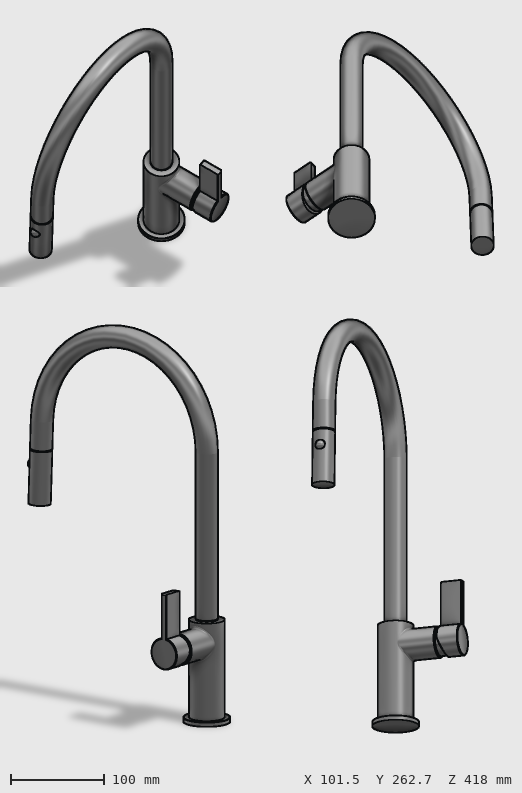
import math
import cadquery as cq

FLANGE_RADIUS = 25.0
FLANGE_HEIGHT = 5.0
FLANGE_CHAMFER = 0.5
COLUMN_RADIUS = 19.2
COLUMN_TOP = 112.0

ARM_RADIUS = 17.0
ARM_HEIGHT = 88.5
ARM_END = 50.5
ARM_FILLET = 2.5
ARM_CHAMFER = 1.3
SEAM_MARGIN = 0.5

CARTRIDGE_RADIUS = 15.5
CARTRIDGE_DEPTH = 7.5
CARTRIDGE_EDGE = 4.0

HANDLE_GAP = 2.0
HANDLE_END = 76.5
HANDLE_CHAMFER = 1.0
RELIEF_WIDTH = 6.5
LEVER_THICKNESS = 7.0
LEVER_TOP = 154.2
LEVER_FILLET = 2.0

PIPE_DIAMETER = 24.2
SPOUT_TOP = 418
BEND_RADIUS = 110.0
OUTLET_TILT = 2
OUTLET_LENGTH = 31.8
SPACER_THICKNESS = 1.3
SPACER_INSET = 0.5

HEAD_LENGTH = 59.5
BUTTON_DROP = 17.5
BUTTON_RADIUS = 5.5
BUTTON_REACH = 16.0

PIPE_RADIUS = PIPE_DIAMETER / 2
HANDLE_START = ARM_END + HANDLE_GAP
BEND_HEIGHT = SPOUT_TOP - BEND_RADIUS - PIPE_RADIUS
PIPE_START = COLUMN_TOP + SPACER_THICKNESS
TILT = math.radians(OUTLET_TILT)


def bend_point(angle):
    """Point (Y, Z) on the bend centreline, measured from the column side."""
    y = -BEND_RADIUS + BEND_RADIUS * math.cos(angle)
    z = BEND_HEIGHT + BEND_RADIUS * math.sin(angle)
    return y, z


def outlet_plane(distance):
    """Plane across the outlet axis; its normal points down the outlet, local X is +X."""
    y, z = bend_point(math.pi - TILT)
    y -= distance * math.sin(TILT)
    z -= distance * math.cos(TILT)
    down = (0, -math.sin(TILT), -math.cos(TILT))
    return cq.Plane(origin=(0, y, z), xDir=(1, 0, 0), normal=down)


def arm_cylinder(radius, start, end):
    """Cylinder on the arm axis between two X positions."""
    plane = cq.Workplane("YZ", origin=(start, 0, ARM_HEIGHT))
    return plane.circle(radius).extrude(end - start)


def make_flange():
    flange = cq.Workplane("XY").circle(FLANGE_RADIUS).extrude(FLANGE_HEIGHT)
    return flange.faces(">Z").edges().chamfer(FLANGE_CHAMFER)


def make_column():
    column = cq.Workplane("XY", origin=(0, 0, FLANGE_HEIGHT))
    column = column.circle(COLUMN_RADIUS).extrude(COLUMN_TOP - FLANGE_HEIGHT)
    arm = arm_cylinder(ARM_RADIUS, 0, ARM_END).faces(">X").edges().chamfer(ARM_CHAMFER)
    column = column.union(arm)
    seam_box = cq.selectors.BoxSelector(
        (SEAM_MARGIN, -COLUMN_RADIUS, ARM_HEIGHT - ARM_RADIUS - SEAM_MARGIN),
        (COLUMN_RADIUS + SEAM_MARGIN, COLUMN_RADIUS, ARM_HEIGHT + ARM_RADIUS + SEAM_MARGIN),
        boundingbox=True,
    )
    return column.edges(seam_box).fillet(ARM_FILLET)


def make_cartridge():
    cartridge = arm_cylinder(CARTRIDGE_RADIUS, ARM_END, ARM_END + CARTRIDGE_DEPTH)
    return cartridge.faces(">X").edges().fillet(CARTRIDGE_EDGE)


def make_lever():
    width = HANDLE_END - HANDLE_START
    lever = cq.Workplane("XY").box(
        width, LEVER_THICKNESS, LEVER_TOP - ARM_HEIGHT, centered=(False, True, False)
    )
    return lever.translate((HANDLE_START, 0, ARM_HEIGHT))


def make_handle(cartridge):
    handle = arm_cylinder(ARM_RADIUS, HANDLE_START, HANDLE_END)
    relief = (
        cq.Workplane("XZ")
        .moveTo(HANDLE_START, ARM_HEIGHT)
        .lineTo(HANDLE_START, ARM_HEIGHT - ARM_RADIUS)
        .lineTo(HANDLE_START + RELIEF_WIDTH, ARM_HEIGHT - ARM_RADIUS)
        .close()
        .extrude(ARM_RADIUS, both=True)
    )
    handle = handle.union(make_lever())
    handle = handle.faces(">X").edges().chamfer(HANDLE_CHAMFER)
    handle = handle.faces(">Z").edges("|Y").fillet(LEVER_FILLET)
    return handle.cut(relief).cut(cartridge)


def make_pipe():
    path = (
        cq.Workplane("YZ")
        .moveTo(0, PIPE_START)
        .lineTo(0, BEND_HEIGHT)
        .threePointArc(bend_point(math.pi / 2), bend_point(math.pi - TILT))
    )
    pipe = cq.Workplane("XY", origin=(0, 0, PIPE_START)).circle(PIPE_RADIUS).sweep(path)
    return pipe.union(cq.Workplane(outlet_plane(0)).circle(PIPE_RADIUS).extrude(OUTLET_LENGTH))


def make_spacer(plane):
    """Thin disc lying on the plane, slightly slimmer than the pipe."""
    return cq.Workplane(plane).circle(PIPE_RADIUS - SPACER_INSET).extrude(SPACER_THICKNESS)


def make_button():
    """Ball set into the spray head on the side away from the column."""
    plane = outlet_plane(OUTLET_LENGTH + SPACER_THICKNESS + BUTTON_DROP)
    ball = cq.Workplane(plane).sphere(BUTTON_RADIUS)
    outward = plane.yDir * (BUTTON_REACH - BUTTON_RADIUS)
    return ball.translate(outward)


def make_head():
    plane = outlet_plane(OUTLET_LENGTH + SPACER_THICKNESS)
    return cq.Workplane(plane).circle(PIPE_RADIUS).extrude(HEAD_LENGTH)


flange = make_flange()
column = make_column()
cartridge = make_cartridge()
handle = make_handle(cartridge)
pipe = make_pipe()
spacer_planes = [cq.Plane.XY(origin=(0, 0, COLUMN_TOP)), outlet_plane(OUTLET_LENGTH)]
spacers = [make_spacer(plane) for plane in spacer_planes]
button = make_button()
head = make_head().cut(button)

result = cq.Compound.makeCompound(
    [
        flange.val(),
        column.val(),
        cartridge.val(),
        handle.val(),
        pipe.val(),
        *[spacer.val() for spacer in spacers],
        head.val(),
        button.val(),
    ]
)